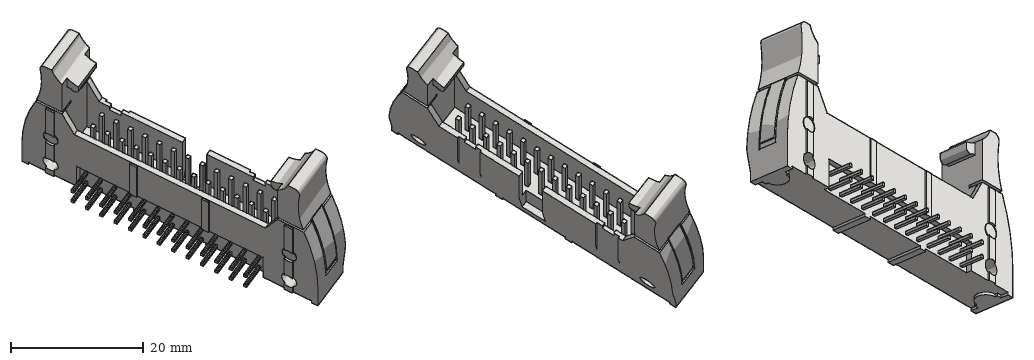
import cadquery as cq
import math


half_length = 26.15
body_depth = 8.15
wall = 0.95
wall_top = 13.35
tower_top = 17.05
tower_outer_x = 23.7
cavity_half_length = 19.05
slope_foot_x = 16.9
standoff = 0.45
cavity_floor = 5.5
end_straight_top = 4.7

rear_inset = 0.8
taper_bottom = 1.7
taper_top = 6.0

pocket_half_length = 16.5
rib_height = 0.25
rib_inset = 0.15
centre_rib_x = 6.4
centre_rib_width = 1.25
tower_rib_x = 21.1
tower_rib_width = 1.45
tower_rib_top = 16.75

hole_z = 3.05
hole_diameter = 2.65
pivot_z = 9.4
pivot_diameter = 2.55
pivot_recess = 0.1

key_width = 4.3
key_depth = 1.9
relief_depth = 0.3
relief_width = 4.15
relief_notch_width = 2.1
relief_notch_depth = 0.8
relief_centres = (-14.0, 11.4)

foot_strip = 1.15
foot_round_x = 24.15
foot_radius = 1.85
foot_pad_half_width = 2.3

lever_slot_start = 2.35
lever_slot_end = 5.7
lever_slot_bottom = 5.0
lever_slot_depth = 0.25
neck_front_clearance = 0.3
neck_rear_clearance = 0.15
lever_bottom = 6.05
lever_head_bottom = 17.5
lever_head_outer_x = 23.6
lever_waist = (22.7, 22.5)
lever_crown_x = 22.95
lever_top = 27.0
lever_corner = 1.1
lever_top_inner_x = 20.85
lever_depth = 8.05
grip_middle = (19.15, 24.65)
hook_tip_x = 17.0
hook_tip_top = 23.75
hook_round_z = 22.85
hook_radius = 0.8
hook_root_z = 22.35
hook_start = 1.4
hook_end = 6.65

columns = 13
pin_pitch = 2.54
pin_size = 0.65
row_y = (2.8, 5.35)
pin_top = 13.4
leg_z = (1.25, 3.75)
leg_reach = 3.25
leg_width = 0.5
leg_chamfer = 0.15

arc_rise = tower_top - end_straight_top
arc_lean = half_length - tower_outer_x
end_radius = (arc_rise**2 + arc_lean**2) / (2 * arc_lean)


def end_x(z):
    """Distance from the centre to the outer end of the housing at height z."""
    rise = max(z - end_straight_top, 0)
    return half_length - end_radius + math.sqrt(end_radius**2 - rise**2)


def box(x_range, y_range, z_range):
    """Box between two limits on each axis."""
    limits = (x_range, y_range, z_range)
    size = [high - low for low, high in limits]
    corner = [low for low, high in limits]
    return cq.Workplane("XY").box(*size, centered=False).translate(corner)


def both_ends(shape):
    """The shape together with its mirror image across X = 0."""
    return shape.union(shape.mirror("YZ"))


def front_plane(y=0.0):
    """XZ sketch plane at depth y; extrusion by a negative length goes towards +Y."""
    return cq.Workplane("XZ", origin=(0, y, 0))


def make_housing():
    arc_middle_z = (end_straight_top + tower_top) / 2
    half_outline = (
        front_plane()
        .moveTo(0, standoff)
        .lineTo(half_length, standoff)
        .lineTo(half_length, end_straight_top)
        .threePointArc((end_x(arc_middle_z), arc_middle_z), (tower_outer_x, tower_top))
        .lineTo(cavity_half_length, tower_top)
        .lineTo(slope_foot_x, wall_top)
        .lineTo(0, wall_top)
        .close()
        .extrude(-body_depth)
    )
    housing = both_ends(half_outline).union(make_feet())
    cavity = box(
        (-cavity_half_length, cavity_half_length),
        (wall, body_depth - wall),
        (cavity_floor, tower_top),
    )
    pocket = box((-pocket_half_length, pocket_half_length), (0, wall), (0, cavity_floor))
    return housing.cut(cavity).cut(pocket).cut(make_rear_taper())


def make_feet():
    middle_y = (body_depth - rear_inset) / 2
    strip = box((half_length - foot_strip, half_length), (0, body_depth), (0, standoff))
    pad = box(
        (foot_round_x, half_length),
        (middle_y - foot_pad_half_width, middle_y + foot_pad_half_width),
        (0, standoff),
    )
    disc = cq.Workplane("XY").center(foot_round_x, middle_y).circle(foot_radius).extrude(standoff)
    inner_half = box((0, foot_round_x), (0, body_depth), (0, standoff))
    return both_ends(strip.union(pad).union(disc.intersect(inner_half)))


def make_rear_taper():
    """Wedge that thins the lower part of the rear face."""
    return (
        cq.Workplane("YZ")
        .polyline(
            [
                (body_depth, 0),
                (body_depth - rear_inset, 0),
                (body_depth - rear_inset, taper_bottom),
                (body_depth, taper_top),
            ]
        )
        .close()
        .extrude(half_length, both=True)
    )


def make_rear_openings():
    """Polarising slot, and a shallow relief with a notched rim at each relief centre."""
    openings = box(
        (-key_width / 2, key_width / 2),
        (body_depth - key_depth, body_depth),
        (taper_bottom, wall_top),
    )
    for x in relief_centres:
        relief = box(
            (x - relief_width / 2, x + relief_width / 2),
            (body_depth - relief_depth, body_depth),
            (0, wall_top),
        )
        notch = box(
            (x - relief_notch_width / 2, x + relief_notch_width / 2),
            (body_depth - wall, body_depth),
            (wall_top - relief_notch_depth, wall_top),
        )
        openings = openings.union(relief).union(notch)
    return openings


def make_front_ribs():
    """Upright ribs on the front face, the outer ones as tall as the towers; the
    centre pair also has feet under the housing."""

    def rib(x, width, bottom, top):
        return box((x - width / 2, x + width / 2), (-rib_height, 0), (bottom, top))

    tower = rib(tower_rib_x, tower_rib_width, standoff, tower_rib_top)
    centre = rib(centre_rib_x, centre_rib_width, cavity_floor, wall_top - rib_inset)
    foot = box(
        (centre_rib_x - centre_rib_width / 2, centre_rib_x + centre_rib_width / 2),
        (wall, body_depth - rear_inset),
        (0, standoff),
    )
    return both_ends(tower.union(centre).union(foot))


def make_lever_slots():
    """Shallow slots whose floor follows the outer end arcs."""
    middle_z = (lever_slot_bottom + tower_top) / 2

    def floor_point(z):
        return (end_x(z) - lever_slot_depth, z)

    slot = (
        front_plane(lever_slot_start)
        .moveTo(*floor_point(lever_slot_bottom))
        .threePointArc(floor_point(middle_z), floor_point(tower_top))
        .lineTo(half_length, tower_top)
        .lineTo(half_length, lever_slot_bottom)
        .close()
        .extrude(lever_slot_start - lever_slot_end)
    )
    return both_ends(slot)


def make_round_holes():
    """Mounting hole and pivot bore near each end, running from front to rear."""

    def hole(z, diameter):
        start = front_plane(-rib_height).center(tower_rib_x, z)
        return start.circle(diameter / 2).extrude(-body_depth - rib_height)

    return both_ends(hole(hole_z, hole_diameter).union(hole(pivot_z, pivot_diameter)))


def make_lever():
    """Lever on the +X end: slim neck in the slot, wide head, hook and pivot pin."""
    neck_start = lever_slot_start + neck_front_clearance
    neck_end = lever_slot_end - neck_rear_clearance
    neck_middle_z = (lever_bottom + lever_head_bottom) / 2
    neck_top = (end_x(lever_head_bottom), lever_head_bottom)
    neck = (
        front_plane(neck_start)
        .moveTo(cavity_half_length, lever_bottom)
        .lineTo(end_x(lever_bottom), lever_bottom)
        .threePointArc((end_x(neck_middle_z), neck_middle_z), neck_top)
        .lineTo(cavity_half_length, lever_head_bottom)
        .close()
        .extrude(neck_start - neck_end)
    )
    hook_rise = hook_round_z - hook_root_z
    hook_end_x = hook_tip_x + hook_radius + math.sqrt(hook_radius**2 - hook_rise**2)
    profile = (
        front_plane()
        .moveTo(cavity_half_length, lever_head_bottom)
        .lineTo(lever_head_outer_x, lever_head_bottom)
        .threePointArc(lever_waist, (lever_crown_x, lever_top - lever_corner))
        .radiusArc((lever_crown_x - lever_corner, lever_top), -lever_corner)
        .lineTo(lever_top_inner_x, lever_top)
        .threePointArc(grip_middle, (hook_tip_x, hook_tip_top))
        .lineTo(hook_tip_x, hook_round_z)
        .threePointArc(
            (hook_tip_x + hook_radius, hook_round_z - hook_radius),
            (hook_end_x, hook_root_z),
        )
        .lineTo(cavity_half_length, hook_root_z)
        .close()
        .extrude(-lever_depth)
    )
    for y_range in ((0, hook_start), (hook_end, lever_depth)):
        profile = profile.cut(box((0, cavity_half_length), y_range, (0, lever_top)))
    pivot = (
        front_plane(pivot_recess)
        .center(tower_rib_x, pivot_z)
        .circle(pivot_diameter / 2)
        .extrude(pivot_recess - body_depth)
    )
    return neck.union(profile).union(pivot)


def make_pins():
    """Upright contacts in the cavity and their legs, bent towards the front."""
    half = pin_size / 2
    pins = cq.Workplane("XY")
    for column in range(columns):
        x = (column - (columns - 1) / 2) * pin_pitch
        for y, z in zip(row_y, leg_z):
            pins.add(box((x - half, x + half), (y - half, y + half), (z - half, pin_top)))
            leg_x_range = (x - leg_width / 2, x + leg_width / 2)
            leg = box(leg_x_range, (-leg_reach, y), (z - half, z + half))
            pins.add(leg.faces(">Z").edges("|Y").chamfer(leg_chamfer))
    return pins.combine()


housing = make_housing().cut(make_rear_openings()).union(make_front_ribs())
housing = housing.cut(make_lever_slots()).cut(make_round_holes())
result = housing.union(both_ends(make_lever())).union(make_pins())